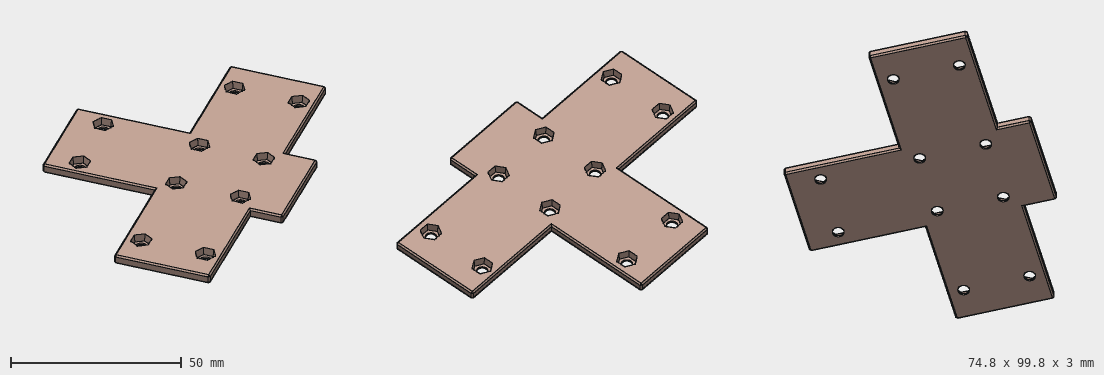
import cadquery as cq
import math

thickness = 3.0
grid = 10.0
clearance = 0.1
arm_width = 3 * grid - 2 * clearance
plate_length_x = 7.5 * grid - 2 * clearance
plate_length_y = 10 * grid - 2 * clearance
edge_chamfer = 0.5

left_column = -plate_length_x / 2 + grid - clearance
middle_column = left_column + 3 * grid
right_column = middle_column + 2 * grid
outer_row = 4 * grid
inner_row = grid
long_arm_center_x = (middle_column + right_column) / 2

hole_diameter = 3.4
nut_width = 5.5
nut_depth = 2.4
nut_wall_draft = 6.0
nut_sides = 6
flats_to_corners = 1 / math.cos(math.pi / nut_sides)
nut_floor_width = nut_width - 2 * nut_depth * math.tan(math.radians(nut_wall_draft))

nuts_pointing_x = [
    (middle_column, outer_row),
    (left_column, inner_row),
    (middle_column, inner_row),
    (right_column, -inner_row),
    (right_column, -outer_row),
]
nuts_pointing_y = [
    (right_column, outer_row),
    (right_column, inner_row),
    (left_column, -inner_row),
    (middle_column, -inner_row),
    (middle_column, -outer_row),
]

turn_to_x = 0
turn_to_y = 90


def make_bar(length_x, length_y, center_x):
    """Rectangular bar with every edge chamfered."""
    return (
        cq.Workplane("XY")
        .center(center_x, 0)
        .rect(length_x, length_y)
        .extrude(thickness)
        .edges()
        .chamfer(edge_chamfer)
    )


def make_plate():
    """Cross of two overlapping bars, sharp at the four inner corners."""
    cross_bar = make_bar(plate_length_x, arm_width, 0)
    long_bar = make_bar(arm_width, plate_length_y, long_arm_center_x)
    return cross_bar.union(long_bar)


def make_nut_pocket(position, turn):
    """Hexagonal pocket tapering down to its floor, turned about its own axis."""
    return (
        cq.Workplane("XY", origin=(0, 0, thickness - nut_depth))
        .polygon(nut_sides, nut_floor_width * flats_to_corners)
        .workplane(offset=nut_depth)
        .polygon(nut_sides, nut_width * flats_to_corners)
        .loft(ruled=True)
        .rotate((0, 0, 0), (0, 0, 1), turn)
        .translate((*position, 0))
    )


plate = make_plate()
for position in nuts_pointing_x:
    plate = plate.cut(make_nut_pocket(position, turn_to_x))
for position in nuts_pointing_y:
    plate = plate.cut(make_nut_pocket(position, turn_to_y))

screw_holes = (
    cq.Workplane("XY")
    .pushPoints(nuts_pointing_x + nuts_pointing_y)
    .circle(hole_diameter / 2)
    .extrude(thickness)
)
result = plate.cut(screw_holes)